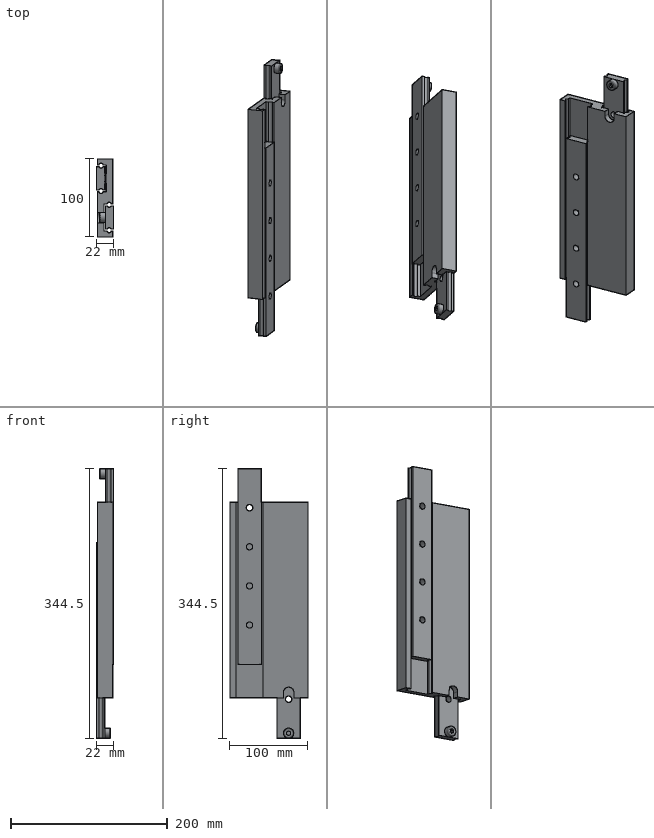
import cadquery as cq
import math

LENGTH = 344.5
BODY_LENGTH = 250.0
WIDTH = 100.0
THICKNESS = 20.0
RAIL_PROUD = 1.0
UPPER_TRAVEL = 42.7
LOWER_TRAVEL = LENGTH - BODY_LENGTH - UPPER_TRAVEL

RAIL_WIDTH = 30.0
RAIL_THICKNESS = 10.7
RAIL_EDGE_OFFSET = 10.0
SIDE_GAP = 2.0
FLOOR_GAP = 1.7
BALL_TRACK_RADIUS = 2.8
RAIL_TRACK_OFFSET = 1.0
HOUSING_TRACK_OFFSET = 1.55
BALL_TRACK_INSET = 6.0

HOLE_DIAMETER = 8.0
HOLE_PITCH = 50.0
HOLE_COUNT = 4

PIN_DIAMETER = 13.0
PIN_LENGTH = 7.2
PIN_FILLET = 1.0
PIN_END_OFFSET = 6.5
PIN_SOCKET_FLATS = 5.0
PIN_SOCKET_DEPTH = 3.5
NOTCH_WIDTH = 13.5
NOTCH_CENTRE_DEPTH = 7.0

housing_bottom = -LENGTH / 2 + LOWER_TRAVEL
housing_top = housing_bottom + BODY_LENGTH
rail_face = THICKNESS / 2 + RAIL_PROUD
rail_floor = rail_face - RAIL_THICKNESS
channel_floor = rail_floor - FLOOR_GAP
channel_width = RAIL_WIDTH + 2 * SIDE_GAP
rail_y = WIDTH / 2 - RAIL_EDGE_OFFSET - RAIL_WIDTH / 2
track_x = rail_face - BALL_TRACK_INSET


def block(x_min, x_max, y_centre, y_size, z_min, z_size):
    """Box given by its X range, Y centre and lower Z end."""
    return (
        cq.Workplane("XY")
        .box(x_max - x_min, y_size, z_size, centered=False)
        .translate((x_min, y_centre - y_size / 2, z_min))
    )


def x_cylinder(x_start, length, y, z, diameter):
    """Cylinder growing toward +X from x_start."""
    return (
        cq.Workplane("YZ", origin=(x_start, y, z))
        .circle(diameter / 2)
        .extrude(length)
    )


def ball_tracks(z_min, edge_offset):
    """Round tracks, edge_offset outside both edges of a rail centred on Y = 0."""
    track_y = RAIL_WIDTH / 2 + edge_offset
    return (
        cq.Workplane("XY", origin=(track_x, 0, z_min))
        .pushPoints([(0, -track_y), (0, track_y)])
        .circle(BALL_TRACK_RADIUS)
        .extrude(BODY_LENGTH)
    )


def turned_over(shape):
    """Half turn about the Y axis: swaps front with back and top with bottom."""
    return shape.rotate((0, 0, 0), (0, 1, 0), 180)


def make_stop_pin(z):
    """Round-edged pin with a blind hexagon socket, standing on the inner rail face."""
    tip = rail_floor - PIN_LENGTH
    pin = x_cylinder(tip, PIN_LENGTH, 0, z, PIN_DIAMETER).faces("<X").fillet(PIN_FILLET)
    socket_plane = cq.Plane(origin=(tip, 0, z), xDir=(0, 0, 1), normal=(1, 0, 0))
    across_corners = PIN_SOCKET_FLATS / math.cos(math.pi / 6)
    socket = cq.Workplane(socket_plane).polygon(6, across_corners).extrude(PIN_SOCKET_DEPTH)
    return pin.cut(socket)


def make_rail():
    """Rail facing +X on Y = 0, with its pin end at the top of the stack."""
    top = LENGTH / 2
    bottom = top - BODY_LENGTH
    rail = block(rail_floor, rail_face, 0, RAIL_WIDTH, bottom, BODY_LENGTH)
    rail = rail.cut(ball_tracks(bottom, RAIL_TRACK_OFFSET))
    for index in range(1, HOLE_COUNT + 1):
        hole_z = top - index * HOLE_PITCH
        rail = rail.cut(x_cylinder(rail_floor, RAIL_THICKNESS, 0, hole_z, HOLE_DIAMETER))
    return rail.union(make_stop_pin(top - PIN_END_OFFSET))


def make_channel(z_min):
    """Space cut from the housing for a rail facing +X, with its ball tracks."""
    channel = block(channel_floor, rail_face, 0, channel_width, z_min, BODY_LENGTH)
    return channel.union(ball_tracks(z_min, HOUSING_TRACK_OFFSET))


def make_notch(end_z):
    """Round-ended notch through the wall behind the channel, open at the top."""
    centre_z = end_z - NOTCH_CENTRE_DEPTH
    wall_face = -THICKNESS / 2
    slot = block(wall_face, channel_floor, 0, NOTCH_WIDTH, centre_z, NOTCH_CENTRE_DEPTH)
    wall = channel_floor - wall_face
    return slot.union(x_cylinder(wall_face, wall, 0, centre_z, NOTCH_WIDTH))


def make_housing():
    """Block with one channel and notch per rail, on opposite faces and ends."""
    half = THICKNESS / 2
    housing = block(-half, half, 0, WIDTH, housing_bottom, BODY_LENGTH)
    upper_space = make_channel(housing_bottom).union(make_notch(housing_top))
    lower_space = make_channel(-housing_top).union(make_notch(-housing_bottom))
    housing = housing.cut(upper_space.translate((0, -rail_y, 0)))
    return housing.cut(turned_over(lower_space).translate((0, rail_y, 0)))


housing = make_housing()
rails = []
for half_turned in (False, True):
    rail = turned_over(make_rail()) if half_turned else make_rail()
    side = 1 if half_turned else -1
    rails.append(rail.translate((0, side * rail_y, 0)))

result = cq.Compound.makeCompound([housing.val(), *[rail.val() for rail in rails]])